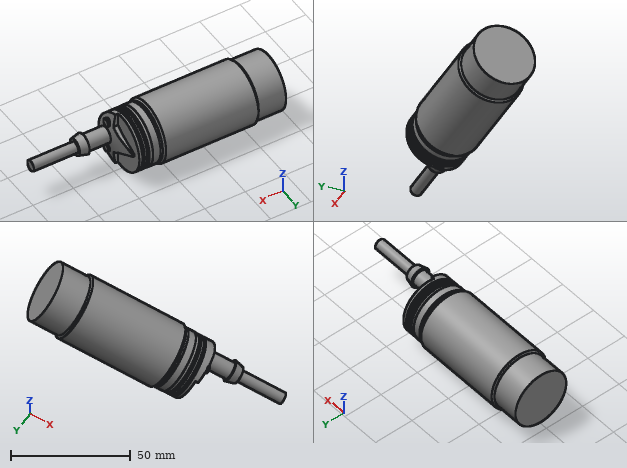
import cadquery as cq
import math

total_length = 113.0
nose_radius = 14.0
barrel_radius = 14.97
nose_end = 13.6
front_chamfer_length = 0.8
barrel_end = 60.0
rear_chamfer_length = 1.0
relief_end = 62.2
relief_depth = 0.1
band_radius = 14.1
band_end = 65.9
cap_radius = 14.0

groove_starts = (67.6, 70.0)
groove_width = 1.0
groove_depth = 0.2

cable_y = -7.5
sleeve_radius = 4.0
cap_end = 75.8
cone_angle = 10.0

step_x = 72.7
tongue_tip_y = 11.1
tongue_tip_radius = 0.6
tongue_shoulder_y = 1.0
tongue_shoulder_z = 4.5
tongue_root_y = -2.8
tongue_root_z = 7.2

collar_start = 86.9
collar_end = 91.1
collar_radius = 5.0
cable_radius = 2.65

stud_radius = 1.9
stud_y = -7.0
stud_z = 7.0
stud_top = 76.2


def x_cylinder(x_start, x_end, radius, y=0.0, z=0.0):
    """Cylinder along X between two X positions."""
    base = cq.Workplane("YZ", origin=(x_start, y, z))
    return base.circle(radius).extrude(x_end - x_start)


def make_housing():
    """Nose, barrel and cap as one turned body."""
    relief_start = barrel_end + rear_chamfer_length
    relief_radius = band_radius - relief_depth
    profile = [
        (0, 0),
        (0, nose_radius),
        (nose_end, nose_radius),
        (nose_end + front_chamfer_length, barrel_radius),
        (barrel_end, barrel_radius),
        (relief_start, relief_radius),
        (relief_end, relief_radius),
        (relief_end, band_radius),
        (band_end, band_radius),
        (band_end, cap_radius),
        (cap_end, cap_radius),
        (cap_end, 0),
    ]
    body = cq.Workplane("XY").polyline(profile).close().revolve(360, (0, 0, 0), (1, 0, 0))
    for start in groove_starts:
        end = start + groove_width
        ring = x_cylinder(start, end, barrel_radius)
        ring = ring.cut(x_cylinder(start, end, cap_radius - groove_depth))
        body = body.cut(ring)
    return body


def make_cone_limit():
    """Solid that ends in the cone around the cable and encloses the housing."""
    outer = 2 * barrel_radius
    cone_drop = (outer - sleeve_radius) * math.tan(math.radians(cone_angle))
    profile = [
        (0, 0),
        (0, outer),
        (cap_end - cone_drop, outer),
        (cap_end, sleeve_radius),
        (cap_end, 0),
    ]
    limit = cq.Workplane("XY").polyline(profile).close().revolve(360, (0, 0, 0), (1, 0, 0))
    return limit.translate((0, cable_y, 0))


def make_step_cutter():
    """Material around the tongue, above the flat step."""
    height = cap_end - step_x
    reach = 2 * barrel_radius
    tongue = (
        cq.Workplane("YZ", origin=(step_x, 0, 0))
        .polyline([
            (tongue_tip_y, 0),
            (tongue_shoulder_y, tongue_shoulder_z),
            (tongue_root_y, tongue_root_z),
            (tongue_root_y, -tongue_root_z),
            (tongue_shoulder_y, -tongue_shoulder_z),
        ])
        .close()
        .extrude(height)
    )
    tongue = tongue.edges("|X").edges(">Y").fillet(tongue_tip_radius)
    block = cq.Workplane("XY").box(height, reach, 2 * reach, centered=(False, False, True))
    return block.translate((step_x, tongue_root_y, 0)).cut(tongue)


def make_cable():
    """Sleeve, tapered collar and cable, starting inside the cap."""
    profile = [
        (step_x, 0),
        (step_x, sleeve_radius),
        (collar_start, sleeve_radius),
        (collar_start, collar_radius),
        (collar_end, sleeve_radius),
        (collar_end, cable_radius),
        (total_length, cable_radius),
        (total_length, 0),
    ]
    cable = cq.Workplane("XY").polyline(profile).close().revolve(360, (0, 0, 0), (1, 0, 0))
    return cable.translate((0, cable_y, 0))


result = make_housing().intersect(make_cone_limit()).cut(make_step_cutter()).union(make_cable())
for side in (-1, 1):
    result = result.union(x_cylinder(step_x, stud_top, stud_radius, stud_y, side * stud_z))